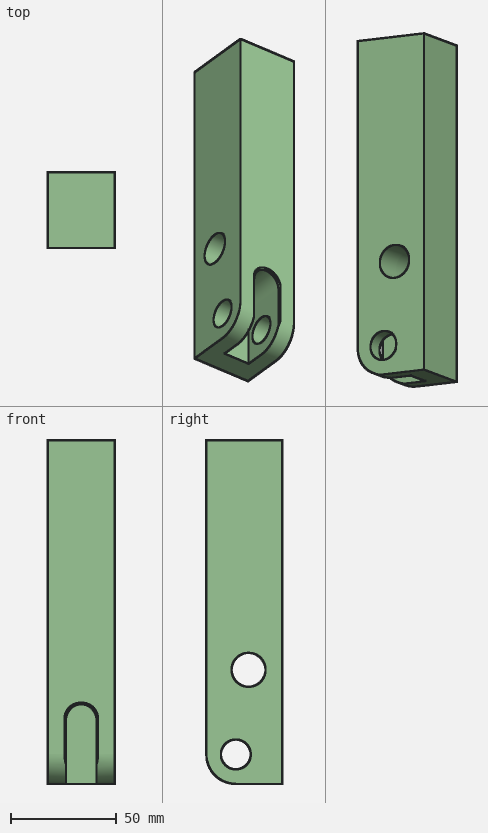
import cadquery as cq

width = 32.0
depth = 36.0
height = 163.0

corner_radius = 14.0
pivot_diameter = 14.0

upper_diameter = 16.0
upper_from_front = 20.0
upper_height = 54.1

slot_width = 14.3
slot_arc_height = 30.6
slot_depth = 24.0
slot_chamfer = 0.8

front = -depth / 2


def cross_hole(diameter, from_front, hole_height):
    """Cylinder running through the full width of the bar."""
    return (
        cq.Workplane("YZ")
        .center(front + from_front, hole_height)
        .circle(diameter / 2)
        .extrude(width / 2, both=True)
    )


def slot_cutter():
    """Round-topped slot with a 45 degree flare at its mouth."""
    radius = slot_width / 2
    bottom = -corner_radius
    body = (
        cq.Workplane("XZ", origin=(0, front, 0))
        .moveTo(-radius, bottom)
        .lineTo(-radius, slot_arc_height)
        .threePointArc((0, slot_arc_height + radius), (radius, slot_arc_height))
        .lineTo(radius, bottom)
        .close()
        .extrude(-slot_depth)
    )
    mouth_radius = radius + slot_chamfer
    mouth = (
        cq.Workplane("XZ", origin=(0, front, 0))
        .moveTo(-mouth_radius, bottom)
        .lineTo(-mouth_radius, slot_arc_height)
        .threePointArc((0, slot_arc_height + mouth_radius), (mouth_radius, slot_arc_height))
        .lineTo(mouth_radius, bottom)
        .close()
        .extrude(-slot_chamfer, taper=45)
    )
    return body.union(mouth)


bar = (
    cq.Workplane("XY")
    .box(width, depth, height, centered=(True, True, False))
    .edges("<Y and <Z")
    .fillet(corner_radius)
)

result = (
    bar
    .cut(slot_cutter())
    .cut(cross_hole(pivot_diameter, corner_radius, corner_radius))
    .cut(cross_hole(upper_diameter, upper_from_front, upper_height))
)